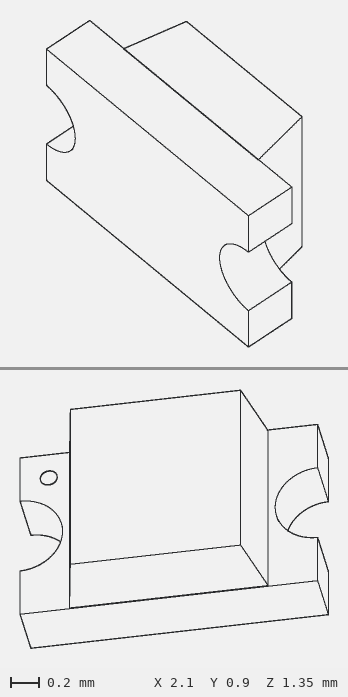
import cadquery as cq

board_length = 2.1
board_height = 1.35
board_thickness = 0.403
notch_radius = 0.3

lens_base_length = 1.4
lens_tip_length = 1.201
lens_depth = 0.498
lens_height = 1.338

mark_diameter = 0.12
mark_thickness = 0.006
mark_edge_distance = 0.204
mark_center_x = board_length / 2 - mark_edge_distance
mark_center_z = board_height / 2 - mark_edge_distance

total_depth = board_thickness + lens_depth
front_y = -total_depth / 2
board_back_y = front_y + board_thickness


def make_board():
    """Plate with a half-round notch through each end and a raised mark on its back."""
    plate = cq.Workplane("XY").box(board_length, board_thickness, board_height)
    plate = plate.translate((0, front_y + board_thickness / 2, 0))
    notches = (
        cq.Workplane("XZ", origin=(0, board_back_y, 0))
        .pushPoints([(-board_length / 2, 0), (board_length / 2, 0)])
        .circle(notch_radius)
        .extrude(board_thickness)
    )
    mark = (
        cq.Workplane("XZ", origin=(0, board_back_y, 0))
        .center(mark_center_x, mark_center_z)
        .circle(mark_diameter / 2)
        .extrude(-mark_thickness)
    )
    return plate.cut(notches).union(mark)


def make_lens():
    """Block whose two ends slope inward away from the board."""
    back_y = board_back_y + lens_depth
    outline = [
        (-lens_base_length / 2, board_back_y),
        (lens_base_length / 2, board_back_y),
        (lens_tip_length / 2, back_y),
        (-lens_tip_length / 2, back_y),
    ]
    return (
        cq.Workplane("XY", origin=(0, 0, -lens_height / 2))
        .polyline(outline)
        .close()
        .extrude(lens_height)
    )


board = make_board()
lens = make_lens()
result = cq.Compound.makeCompound([board.val(), lens.val()])